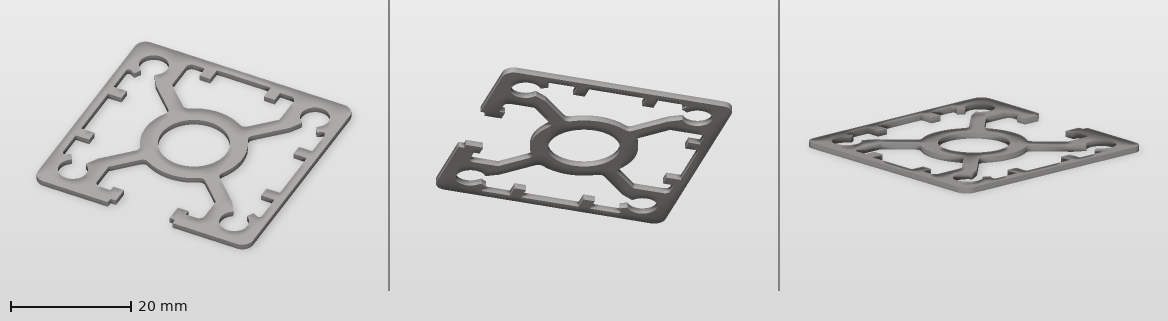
import cadquery as cq
import math

SIZE = 40.0
THICKNESS = 1.0
CORNER_RADIUS = 2.0
HALF = SIZE / 2

BORE_DIAMETER = 12.0
HUB_DIAMETER = 18.0
SPOKE_WIDTH = 2.55
HUB_FILLET = 1.0

HOLE_DIAMETER = 5.0
HOLE_INSET = 5.0
NECK_HALF_ANGLE = math.radians(30)
LIP_LENGTH = 1.4
LIP_TIP_RADIUS = 0.2
LIP_HEEL_RADIUS = 0.1
LIP_ROOT_RADIUS = 0.5

INNER_WIDTH = 37.0
POCKET_WIDTH = 20.0
POCKET_CORNER_RADIUS = 1.0
TOP_SHOULDER = 2.0
BOTTOM_SHOULDER = 3.0

TAB_GAP = 10.0
TAB_WIDTH = 2.0
TAB_DEPTH = 4.0

MOUTH_WIDTH = 12.0
MOUTH_STEP = 1.0

INNER_HALF = INNER_WIDTH / 2
POCKET_HALF = POCKET_WIDTH / 2
TAB_INNER = TAB_GAP / 2
TAB_OUTER = TAB_INNER + TAB_WIDTH
TAB_END = HALF - TAB_DEPTH
HOLE_CENTER = HALF - HOLE_INSET
HOLE_RADIUS = HOLE_DIAMETER / 2
HUB_RADIUS = HUB_DIAMETER / 2

SPOKE_OFFSET = SPOKE_WIDTH / math.sqrt(2)


def prism(points):
    return cq.Workplane("XY").polyline(points).close().extrude(THICKNESS)


def disc(diameter, x=0, y=0):
    return cq.Workplane("XY").center(x, y).circle(diameter / 2).extrude(THICKNESS)


def block(x_min, x_max, y_min, y_max):
    """Full-thickness rectangular block between the given limits."""
    return prism([(x_min, y_min), (x_max, y_min), (x_max, y_max), (x_min, y_max)])


def round_edges(body, points, radius):
    """Fillet the upright edges that pass through the given XY points."""
    for x, y in points:
        selector = cq.selectors.NearestToPointSelector((x, y, THICKNESS / 2))
        body = body.edges("|Z").edges(selector).fillet(radius)
    return body


def hub_junction():
    """Where a spoke edge meets the hub: (along the cavity's wall, toward the wall)."""
    half_chord = math.sqrt(HUB_RADIUS**2 - (SPOKE_WIDTH / 2) ** 2)
    half_spoke = SPOKE_WIDTH / 2
    return (half_chord - half_spoke) / math.sqrt(2), (half_chord + half_spoke) / math.sqrt(2)


def pocket(shoulder):
    """Cavity on the +Y side, between two spokes, its roof one shoulder below the edge."""
    roof = HALF - shoulder
    spoke_start = POCKET_HALF + SPOKE_OFFSET
    body = prism([
        (0, SPOKE_OFFSET),
        (POCKET_HALF, spoke_start),
        (POCKET_HALF, roof),
        (-POCKET_HALF, roof),
        (-POCKET_HALF, spoke_start),
    ]).cut(disc(HUB_DIAMETER))
    across, outward = hub_junction()
    body = round_edges(body, [(-across, outward), (across, outward)], HUB_FILLET)
    corners = [(-POCKET_HALF, roof), (POCKET_HALF, roof)]
    return round_edges(body, corners, POCKET_CORNER_RADIUS)


def tab_pair():
    """Two tabs standing in from the +Y wall."""
    right = block(TAB_INNER, TAB_OUTER, TAB_END, HALF)
    return right.union(right.mirror("YZ"))


def top_cavity():
    recess = block(-TAB_INNER, TAB_INNER, TAB_END, INNER_HALF)
    return pocket(TOP_SHOULDER).cut(tab_pair()).union(recess)


def bottom_cavity():
    """Cavity on the -Y side, open through a stepped mouth between its tabs."""
    throat = block(-TAB_INNER, TAB_INNER, TAB_END, HALF)
    mouth = block(-MOUTH_WIDTH / 2, MOUTH_WIDTH / 2, HALF - MOUTH_STEP, HALF)
    cavity = pocket(BOTTOM_SHOULDER).cut(tab_pair()).union(throat).union(mouth)
    return cavity.mirror("XZ")


def side_cavity():
    """Cavity on the +X side, together with the two corner holes it opens into."""
    sin_neck = math.sin(NECK_HALF_ANGLE)
    cos_neck = math.cos(NECK_HALF_ANGLE)

    flank = SPOKE_OFFSET / (cos_neck - sin_neck)
    spoke_end = (HOLE_CENTER - flank * sin_neck, HOLE_CENTER - flank * cos_neck)

    heel_reach = HOLE_RADIUS + LIP_LENGTH
    lip_heel = (HOLE_CENTER + heel_reach * sin_neck, HOLE_CENTER - heel_reach * cos_neck)
    lip_rise = (INNER_HALF - lip_heel[0]) * math.tan(NECK_HALF_ANGLE)
    lip_root = (INNER_HALF, lip_heel[1] + lip_rise)

    upper = [spoke_end, (HOLE_CENTER, HOLE_CENTER), lip_heel, lip_root]
    lower = [(x, -y) for x, y in reversed(upper)]
    body = prism([(SPOKE_OFFSET, 0)] + upper + lower).cut(disc(HUB_DIAMETER))
    for side in (1, -1):
        body = body.union(disc(HOLE_DIAMETER, HOLE_CENTER, side * HOLE_CENTER))

    across, outward = hub_junction()
    tip_drop = HOLE_CENTER - HOLE_RADIUS * cos_neck
    tip_shift = HOLE_RADIUS * sin_neck
    for side in (1, -1):
        tips = [(HOLE_CENTER + shift, side * tip_drop) for shift in (-tip_shift, tip_shift)]
        body = round_edges(body, [(outward, side * across)], HUB_FILLET)
        body = round_edges(body, tips, LIP_TIP_RADIUS)
        body = round_edges(body, [(lip_heel[0], side * lip_heel[1])], LIP_HEEL_RADIUS)
        body = round_edges(body, [(lip_root[0], side * lip_root[1])], LIP_ROOT_RADIUS)

    tabs = tab_pair().rotate((0, 0, 0), (0, 0, 1), -90)
    return body.cut(tabs)


plate = block(-HALF, HALF, -HALF, HALF).edges("|Z").fillet(CORNER_RADIUS)
right_cavity = side_cavity()

result = (
    plate
    .cut(top_cavity())
    .cut(bottom_cavity())
    .cut(right_cavity)
    .cut(right_cavity.mirror("YZ"))
    .cut(disc(BORE_DIAMETER))
)